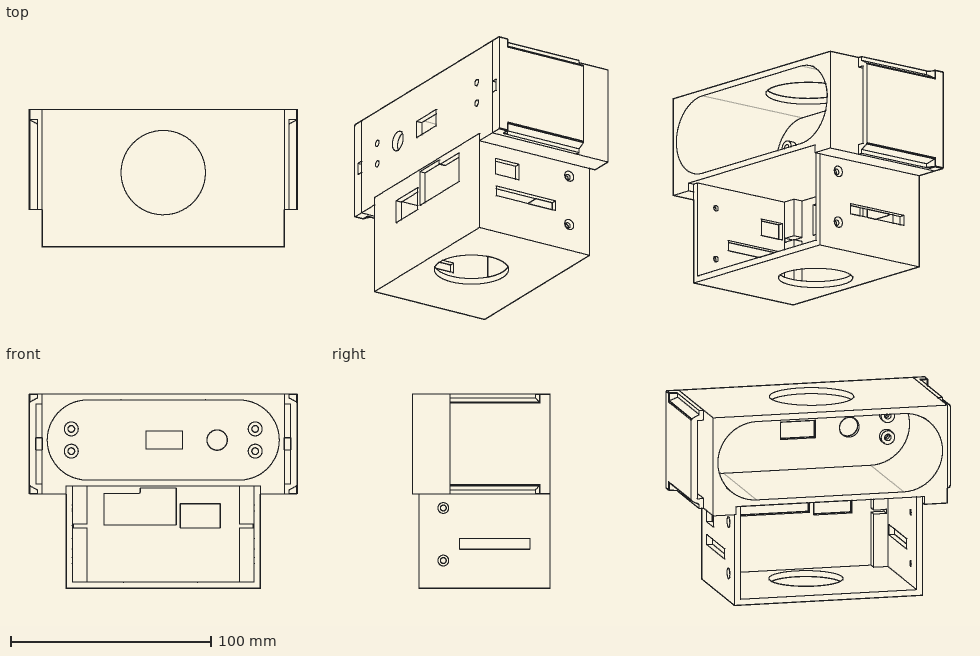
import cadquery as cq
import math

OVERALL_WIDTH = 133.8
WALL = 3.1

HOUSING_WIDTH = 120.8
HOUSING_DEPTH = 68.6
HOUSING_HEIGHT = 50.0
TUNNEL_WIDTH = 115.9
TUNNEL_HEIGHT = 40.0
TUNNEL_CENTER_Z = HOUSING_HEIGHT - WALL - TUNNEL_HEIGHT / 2
TOP_HOLE_DIAMETER = 42.1
TOP_HOLE_FROM_BACK = 31.6
ROUND_PORT_DIAMETER = 10.0
ROUND_PORT_X = 26.9
DISPLAY_WIDTH = 18.0
DISPLAY_HEIGHT = 8.8
DISPLAY_X = 0.5

STANDOFF_DIAMETER = 7.0
STANDOFF_LENGTH = 3.5
STANDOFF_HOLE_DIAMETER = 3.2
STANDOFF_SPACING_X = 91.8
STANDOFF_SPACING_Z = 11.1

RECESS_DEPTH = 4.0
BOX_WIDTH = 97.0
BOX_DEPTH = 65.4
BOX_HEIGHT = 51.1
BOX_BOTTOM_Z = RECESS_DEPTH - BOX_HEIGHT
BOX_INNER_WIDTH = BOX_WIDTH - 2 * WALL
FLOOR_HOLE_DIAMETER = 37.0
FLOOR_HOLE_X = -1.3
FLOOR_HOLE_FROM_BACK = 25.5

RAIL_WIDTH = 7.4
RAIL_LENGTH = 5.4
GROOVE_DEPTH = 6.7
GROOVE_HEIGHT = 2.0
GROOVE_BOTTOM = 30.2

SOCKET_LEFT = -29.6
SOCKET_STEP = -11.4
SOCKET_RIGHT = 6.4
SOCKET_BOTTOM = 31.7
SOCKET_LOW_TOP = 47.4
SOCKET_HIGH_TOP = 50.0
SOCKET_STEP_CHAMFER = 0.7
SECOND_SOCKET_LEFT = 8.5
SECOND_SOCKET_RIGHT = 28.4
SECOND_SOCKET_BOTTOM = GROOVE_BOTTOM
SECOND_SOCKET_TOP = 42.1

SIDE_SLOT_FROM_BACK = 10.0
SIDE_SLOT_LENGTH = 35.0
SIDE_SLOT_BOTTOM = 19.7
SIDE_SLOT_HEIGHT = 5.2
WINDOW_FROM_BACK = 9.6
WINDOW_LENGTH = 13.8
WINDOW_BOTTOM = 31.3
WINDOW_HEIGHT = 8.4
SCREW_FROM_BACK = 53.3
SCREW_HEIGHTS = (13.9, 40.1)
SCREW_HOLE_DIAMETER = 2.8
SCREW_HEAD_DIAMETER = 5.4
SCREW_HEAD_ANGLE = 90

BRACKET_LENGTH = 50.0
BRACKET_EDGE_CHAMFER = 0.4
POCKET_DIAMETER = 40.0
POCKET_DEPTH = 3.2
CABLE_SLOT_HEIGHT = 6.0
STEP_FROM_BACK = 5.1
STEP_HEIGHT = 4.3
STEP_DEPTH = 4.1
STEP_SLOPE_OFFSET = 2.3
SHELF_DROP = 0.3


def block(x_min, x_max, y_min, y_max, z_min, z_max):
    """Box between the given limits."""
    size = (x_max - x_min, y_max - y_min, z_max - z_min)
    return cq.Workplane("XY").box(*size, centered=False).translate((x_min, y_min, z_min))


def rod_along_y(x, z, diameter, y_front, length):
    """Cylinder that runs from y_front toward the back."""
    return cq.Workplane("XZ", origin=(x, y_front, z)).circle(diameter / 2).extrude(-length)


STANDOFF_PLACES = [
    (side * STANDOFF_SPACING_X / 2, TUNNEL_CENTER_Z + level * STANDOFF_SPACING_Z / 2)
    for side in (-1, 1)
    for level in (-1, 1)
]


def make_housing():
    half_width = HOUSING_WIDTH / 2
    housing = block(-half_width, half_width, -HOUSING_DEPTH, 0, 0, HOUSING_HEIGHT)

    tunnel = (
        cq.Workplane("XZ", origin=(0, -WALL, TUNNEL_CENTER_Z))
        .slot2D(TUNNEL_WIDTH, TUNNEL_HEIGHT)
        .extrude(HOUSING_DEPTH)
    )
    housing = housing.cut(tunnel)

    housing = housing.cut(block(-BOX_WIDTH / 2, BOX_WIDTH / 2, -HOUSING_DEPTH, 0, 0, RECESS_DEPTH))

    top_hole = (
        cq.Workplane("XY", origin=(0, -TOP_HOLE_FROM_BACK, TUNNEL_CENTER_Z))
        .circle(TOP_HOLE_DIAMETER / 2)
        .extrude(HOUSING_HEIGHT)
    )
    housing = housing.cut(top_hole)

    display = block(
        DISPLAY_X - DISPLAY_WIDTH / 2,
        DISPLAY_X + DISPLAY_WIDTH / 2,
        -WALL,
        0,
        TUNNEL_CENTER_Z - DISPLAY_HEIGHT / 2,
        TUNNEL_CENTER_Z + DISPLAY_HEIGHT / 2,
    )
    housing = housing.cut(display)
    housing = housing.cut(rod_along_y(ROUND_PORT_X, TUNNEL_CENTER_Z, ROUND_PORT_DIAMETER, -WALL, WALL))
    for x, z in STANDOFF_PLACES:
        housing = housing.cut(rod_along_y(x, z, STANDOFF_HOLE_DIAMETER, -WALL, WALL))
    return housing


def make_standoff(x, z):
    y_front = -WALL - STANDOFF_LENGTH
    standoff = rod_along_y(x, z, STANDOFF_DIAMETER, y_front, STANDOFF_LENGTH)
    return standoff.cut(rod_along_y(x, z, STANDOFF_HOLE_DIAMETER, y_front, STANDOFF_LENGTH))


def make_rail():
    """Grooved board rail in the left back corner of the box."""
    x_wall = -BOX_INNER_WIDTH / 2
    x_free = x_wall + RAIL_WIDTH
    y_front = -WALL - RAIL_LENGTH
    rail = block(x_wall, x_free, y_front, -WALL, BOX_BOTTOM_Z + WALL, RECESS_DEPTH)
    groove_z = BOX_BOTTOM_Z + GROOVE_BOTTOM
    return rail.cut(
        block(x_free - GROOVE_DEPTH, x_free, y_front, -WALL, groove_z, groove_z + GROOVE_HEIGHT)
    )


def make_screw_holes():
    """Countersunk screw holes through the left wall of the box."""
    head_ledge = (SCREW_HEAD_DIAMETER - SCREW_HOLE_DIAMETER) / 2
    head_depth = head_ledge / math.tan(math.radians(SCREW_HEAD_ANGLE / 2))
    profile = [
        (0, 0),
        (SCREW_HEAD_DIAMETER / 2, 0),
        (SCREW_HOLE_DIAMETER / 2, head_depth),
        (SCREW_HOLE_DIAMETER / 2, WALL),
        (0, WALL),
    ]
    hole = cq.Workplane("XY").polyline(profile).close().revolve(360, (0, 0), (0, 1))
    hole = hole.rotate((0, 0, 0), (0, 0, 1), -90)
    holes = cq.Workplane("XY")
    for height in SCREW_HEIGHTS:
        holes = holes.add(hole.translate((-BOX_WIDTH / 2, -SCREW_FROM_BACK, BOX_BOTTOM_Z + height)))
    return holes.combine()


def make_socket_opening():
    """Stepped socket opening in the back wall of the box."""
    return (
        cq.Workplane("XZ", origin=(0, 0, BOX_BOTTOM_Z))
        .moveTo(SOCKET_LEFT, SOCKET_BOTTOM)
        .lineTo(SOCKET_RIGHT, SOCKET_BOTTOM)
        .lineTo(SOCKET_RIGHT, SOCKET_HIGH_TOP)
        .lineTo(SOCKET_STEP, SOCKET_HIGH_TOP)
        .lineTo(SOCKET_STEP, SOCKET_LOW_TOP + SOCKET_STEP_CHAMFER)
        .lineTo(SOCKET_STEP - SOCKET_STEP_CHAMFER, SOCKET_LOW_TOP)
        .lineTo(SOCKET_LEFT, SOCKET_LOW_TOP)
        .close()
        .extrude(WALL)
    )


def make_box():
    half_width = BOX_WIDTH / 2
    half_inner = BOX_INNER_WIDTH / 2
    box = block(-half_width, half_width, -BOX_DEPTH, 0, BOX_BOTTOM_Z, RECESS_DEPTH)
    box = box.cut(block(-half_inner, half_inner, -BOX_DEPTH, -WALL, BOX_BOTTOM_Z + WALL, RECESS_DEPTH))

    rail = make_rail()
    box = box.union(rail).union(rail.mirror("YZ"))

    floor_hole = (
        cq.Workplane("XY", origin=(FLOOR_HOLE_X, -FLOOR_HOLE_FROM_BACK, BOX_BOTTOM_Z))
        .circle(FLOOR_HOLE_DIAMETER / 2)
        .extrude(WALL)
    )
    box = box.cut(floor_hole)

    box = box.cut(make_socket_opening())
    second_socket = block(
        SECOND_SOCKET_LEFT,
        SECOND_SOCKET_RIGHT,
        -WALL,
        0,
        BOX_BOTTOM_Z + SECOND_SOCKET_BOTTOM,
        BOX_BOTTOM_Z + SECOND_SOCKET_TOP,
    )
    box = box.cut(second_socket)

    slot_z = BOX_BOTTOM_Z + SIDE_SLOT_BOTTOM
    slot_front = -SIDE_SLOT_FROM_BACK - SIDE_SLOT_LENGTH
    box = box.cut(
        block(-half_width, half_width, slot_front, -SIDE_SLOT_FROM_BACK, slot_z, slot_z + SIDE_SLOT_HEIGHT)
    )

    window_z = BOX_BOTTOM_Z + WINDOW_BOTTOM
    window_front = -WINDOW_FROM_BACK - WINDOW_LENGTH
    box = box.cut(
        block(-half_width, -half_inner, window_front, -WINDOW_FROM_BACK, window_z, window_z + WINDOW_HEIGHT)
    )

    screw_holes = make_screw_holes()
    return box.cut(screw_holes).cut(screw_holes.mirror("YZ"))


def make_step_cutter():
    """Cutter for the upper step of the left bracket: its lower and back walls slope inward."""
    slope_angle = math.degrees(math.atan(STEP_SLOPE_OFFSET / STEP_DEPTH))
    length = 2 * BRACKET_LENGTH
    height = 4 * STEP_HEIGHT
    center_y = -STEP_FROM_BACK - length / 2
    center_z = HOUSING_HEIGHT - STEP_HEIGHT + height / 2
    x_outer = -OVERALL_WIDTH / 2
    sloped_cut = (
        cq.Workplane("YZ", origin=(x_outer, center_y, center_z))
        .rect(length, height)
        .extrude(STEP_DEPTH, taper=slope_angle)
    )
    shelf_cut = block(
        x_outer,
        x_outer + STEP_DEPTH,
        -BRACKET_LENGTH,
        -STEP_FROM_BACK,
        HOUSING_HEIGHT - SHELF_DROP,
        HOUSING_HEIGHT,
    )
    foot_z = HOUSING_HEIGHT - STEP_HEIGHT
    bevel_cut = (
        cq.Workplane("XZ", origin=(x_outer, -STEP_FROM_BACK, 0))
        .moveTo(0, HOUSING_HEIGHT)
        .lineTo(0, foot_z - BRACKET_EDGE_CHAMFER)
        .lineTo(BRACKET_EDGE_CHAMFER, foot_z)
        .lineTo(BRACKET_EDGE_CHAMFER, HOUSING_HEIGHT)
        .close()
        .extrude(BRACKET_LENGTH)
    )
    return sloped_cut.union(shelf_cut).union(bevel_cut)


def make_left_bracket():
    x_outer = -OVERALL_WIDTH / 2
    x_inner = -HOUSING_WIDTH / 2
    center_z = HOUSING_HEIGHT / 2
    bracket = block(x_outer, x_inner, -BRACKET_LENGTH, 0, 0, HOUSING_HEIGHT)
    bracket = bracket.faces("<X").edges("|Y").chamfer(BRACKET_EDGE_CHAMFER)

    step = make_step_cutter()
    bracket = bracket.cut(step).cut(step.mirror("XY", (0, 0, center_z)))

    pocket_y = -BRACKET_LENGTH / 2
    pocket = (
        cq.Workplane("YZ", origin=(x_inner, pocket_y, center_z))
        .circle(POCKET_DIAMETER / 2)
        .extrude(-POCKET_DEPTH)
    )
    half_pocket = POCKET_DIAMETER / 2
    pocket = pocket.union(
        block(
            x_inner - POCKET_DEPTH,
            x_inner,
            -BRACKET_LENGTH,
            pocket_y,
            center_z - half_pocket,
            center_z + half_pocket,
        )
    )
    bracket = bracket.cut(pocket)

    half_slot = CABLE_SLOT_HEIGHT / 2
    return bracket.cut(
        block(x_inner - POCKET_DEPTH, x_inner, pocket_y, 0, center_z - half_slot, center_z + half_slot)
    )


housing = make_housing()
standoffs = [make_standoff(x, z) for x, z in STANDOFF_PLACES]
box = make_box()
left_bracket = make_left_bracket()
right_bracket = left_bracket.mirror("YZ")

result = cq.Compound.makeCompound(
    [
        housing.val(),
        box.val(),
        left_bracket.val(),
        right_bracket.val(),
        *[standoff.val() for standoff in standoffs],
    ]
)